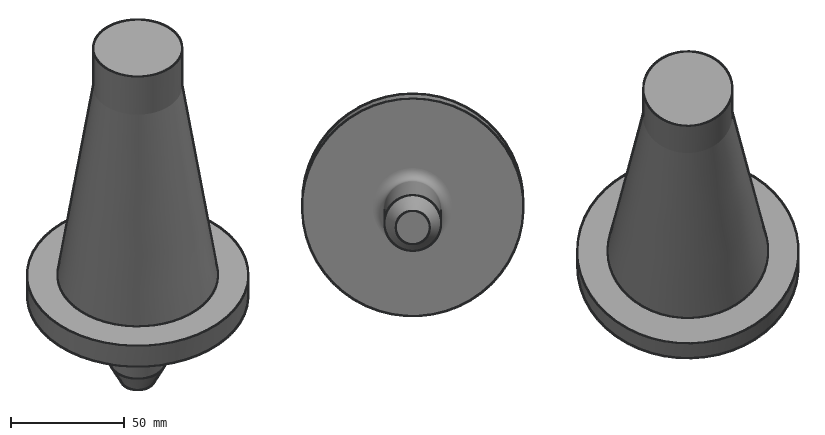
import cadquery as cq
import math

flange_diameter = 97.5
flange_thickness = 12.0
cone_base_diameter = 70.8
cone_height = 108.0
cone_taper = 7 / 24
head_height = 22.0
pin_diameter = 25.0
pin_length = 47.8
pin_tip_diameter = 15.0
pin_tip_half_angle = 25.0
pin_root_fillet = 5.0

flange_radius = flange_diameter / 2
cone_base_radius = cone_base_diameter / 2
head_radius = (cone_base_diameter - cone_taper * cone_height) / 2
pin_radius = pin_diameter / 2
pin_tip_radius = pin_tip_diameter / 2
pin_tip_length = (pin_radius - pin_tip_radius) / math.tan(math.radians(pin_tip_half_angle))

pin_bottom_z = -pin_length
taper_top_z = pin_bottom_z + pin_tip_length
cone_bottom_z = flange_thickness
cone_top_z = cone_bottom_z + cone_height
head_top_z = cone_top_z + head_height


def half_profile():
    """Half section of the turned part in the XZ plane, from pin tip to head."""
    return (
        cq.Workplane("XZ")
        .moveTo(0, pin_bottom_z)
        .lineTo(pin_tip_radius, pin_bottom_z)
        .lineTo(pin_radius, taper_top_z)
        .lineTo(pin_radius, -pin_root_fillet)
        .radiusArc((pin_radius + pin_root_fillet, 0), pin_root_fillet)
        .lineTo(flange_radius, 0)
        .lineTo(flange_radius, cone_bottom_z)
        .lineTo(cone_base_radius, cone_bottom_z)
        .lineTo(head_radius, cone_top_z)
        .lineTo(head_radius, head_top_z)
        .lineTo(0, head_top_z)
        .close()
    )


result = half_profile().revolve(360, (0, 0, 0), (0, 1, 0))